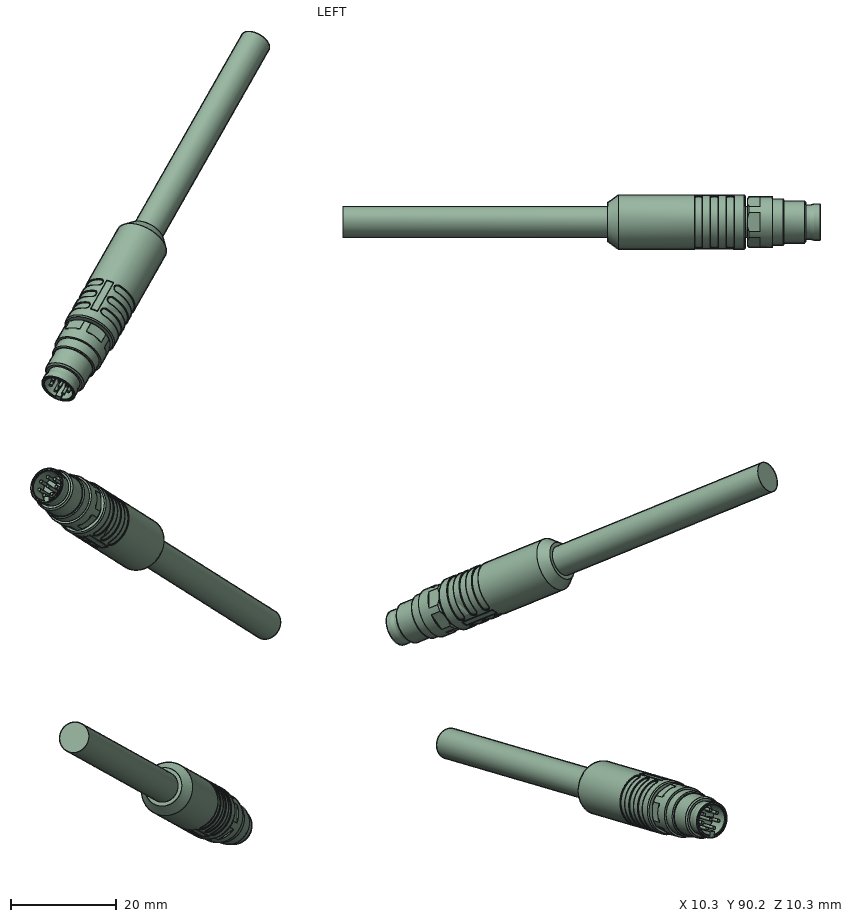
import cadquery as cq
import math


total_length = 90.2
nose_bead_end = 1.2
nose_bead_taper_end = 1.9
nose_groove_end = 2.78
barrel_end = 6.9
front_collar_end = 9.1
nut_flat_start = 11.4
nut_end = 13.8
grip_start = 14.2
grip_end = 40.2

nose_diameter = 6.9
nose_groove_diameter = 6.5
barrel_diameter = 8.0
front_collar_diameter = 8.8
nut_diameter = 9.6
grip_diameter = 10.3
grip_rear_diameter = 7.4
cable_diameter = 5.9
neck_diameter = cable_diameter

barrel_chamfer = 0.3
nose_chamfer_height = 0.15
nose_chamfer_length = 0.12
socket_chamfer = 0.15
collar_chamfer_height = 0.25
collar_chamfer_length = 0.15
nut_chamfer = 0.3
grip_front_chamfer = 0.25
grip_rear_taper_length = 2.0

nut_flat_count = 6
nut_across_flats = 8.9

socket_diameter = 5.8
socket_depth = 4.0
pin_diameter = 0.6
pin_length = 3.5
outer_pin_count = 7
pin_circle_radius = 1.85
key_width = 1.0
key_height = 0.7

groove_count = 3
groove_pitch = 3.0
groove_width = 1.4
groove_depth = 0.2
groove_edge_chamfer = 0.1
groove_tip_offset = 1.25
first_groove_center = 17.05
groove_zone_start = first_groove_center - groove_pitch / 2
groove_zone_end = first_groove_center + (groove_count - 0.5) * groove_pitch
rim_tolerance = 0.01
bar_width = 1.4
bar_length = 7.4
bar_center = 20.1
bar_depth = 0.2


def section(diameter, start, end):
    """Round section of the connector between two axial stations."""
    return (
        cq.Workplane("XZ", origin=(0, start, 0))
        .circle(diameter / 2)
        .extrude(start - end)
    )


def make_body():
    """Turned outline of nose, barrel, nut, grip and cable, as (radius, station) points."""
    nose_radius = nose_diameter / 2
    nose_groove_radius = nose_groove_diameter / 2
    barrel_radius = barrel_diameter / 2
    collar_radius = front_collar_diameter / 2
    nut_radius = nut_diameter / 2
    neck_radius = neck_diameter / 2
    grip_radius = grip_diameter / 2
    cable_radius = cable_diameter / 2
    outline = [
        (0, 0),
        (nose_radius - nose_chamfer_height, 0),
        (nose_radius, nose_chamfer_length),
        (nose_radius, nose_bead_end),
        (nose_groove_radius, nose_bead_taper_end),
        (nose_groove_radius, nose_groove_end),
        (barrel_radius - barrel_chamfer, nose_groove_end),
        (barrel_radius, nose_groove_end + barrel_chamfer),
        (barrel_radius, barrel_end),
        (collar_radius - collar_chamfer_height, barrel_end),
        (collar_radius, barrel_end + collar_chamfer_length),
        (collar_radius, front_collar_end),
        (nut_radius, front_collar_end),
        (nut_radius, nut_end - nut_chamfer),
        (nut_radius - nut_chamfer, nut_end),
        (neck_radius, nut_end),
        (neck_radius, grip_start),
        (grip_radius - grip_front_chamfer, grip_start),
        (grip_radius, grip_start + grip_front_chamfer),
        (grip_radius, grip_end - grip_rear_taper_length),
        (grip_rear_diameter / 2, grip_end),
        (cable_radius, grip_end),
        (cable_radius, total_length),
        (0, total_length),
    ]
    return cq.Workplane("XY").polyline(outline).close().revolve(360, (0, 0, 0), (0, 1, 0))


def make_nut_flat_cut():
    """Material outside the hexagon, over the rear part of the nut."""
    hexagon = (
        cq.Workplane("XZ", origin=(0, nut_flat_start, 0))
        .transformed(rotate=(0, 0, 180 / nut_flat_count))
        .polygon(nut_flat_count, nut_across_flats / math.cos(math.pi / nut_flat_count))
        .extrude(nut_flat_start - nut_end)
    )
    return section(grip_diameter, nut_flat_start, nut_end).cut(hexagon)


def make_grip_grooves():
    """Shallow grooves round both flanks of the grip, with rounded ends beside the marker bars."""
    shell = section(2 * grip_diameter, groove_zone_start, groove_zone_end).cut(
        section(grip_diameter - 2 * groove_depth, groove_zone_start, groove_zone_end)
    )
    slot_length = grip_diameter
    slot_offset = groove_tip_offset + slot_length / 2
    slot_centers = []
    for side in (-1, 1):
        for index in range(groove_count):
            slot_centers.append((side * slot_offset, first_groove_center + index * groove_pitch))
    slots = (
        cq.Workplane("XY")
        .pushPoints(slot_centers)
        .slot2D(slot_length, groove_width)
        .extrude(grip_diameter, both=True)
    )
    return slots.intersect(shell)


def is_groove_rim(edge):
    """True for the edges where a finger groove meets the outer surface of the grip."""
    middle = edge.positionAt(0.5)
    on_surface = abs(math.hypot(middle.x, middle.z) - grip_diameter / 2) < rim_tolerance
    return on_surface and groove_zone_start < middle.y < groove_zone_end


def make_grooved_body():
    """Body with finger grooves, their rims broken by a small chamfer."""
    grooved = make_body().cut(make_grip_grooves())
    rims = grooved.edges().filter(is_groove_rim)
    return rims.chamfer(groove_edge_chamfer)


def make_marker_bars():
    """Flat-bottomed shallow recesses along the top and bottom of the grip."""
    floor_height = grip_diameter / 2 - bar_depth
    bar = (
        cq.Workplane("XY", origin=(0, bar_center, floor_height))
        .rect(bar_width, bar_length)
        .extrude(grip_diameter / 2)
    )
    return bar.union(bar.mirror("XY"))


def make_socket():
    """Round blind socket with a chamfered mouth."""
    socket_radius = socket_diameter / 2
    outline = [
        (0, 0),
        (socket_radius + socket_chamfer, 0),
        (socket_radius, socket_chamfer),
        (socket_radius, socket_depth),
        (0, socket_depth),
    ]
    return cq.Workplane("XY").polyline(outline).close().revolve(360, (0, 0, 0), (0, 1, 0))


def make_contacts():
    """One central pin and a ring of pins, standing on the socket floor."""
    pin_centers = [(0, 0)]
    for index in range(outer_pin_count):
        angle = math.radians(90) + index * 2 * math.pi / outer_pin_count
        pin_centers.append((pin_circle_radius * math.cos(angle), pin_circle_radius * math.sin(angle)))
    return (
        cq.Workplane("XZ", origin=(0, socket_depth, 0))
        .pushPoints(pin_centers)
        .circle(pin_diameter / 2)
        .extrude(pin_length)
    )


def make_key():
    """Polarising rib along the bottom of the socket bore."""
    wall_middle_radius = (socket_diameter + nose_groove_diameter) / 4
    key_top = -(socket_diameter / 2 - key_height)
    return cq.Workplane("XY").box(
        key_width, socket_depth, key_top + wall_middle_radius, centered=(True, False, False)
    ).translate((0, 0, -wall_middle_radius))


result = (
    make_grooved_body()
    .cut(make_nut_flat_cut())
    .cut(make_marker_bars())
    .cut(make_socket())
    .union(make_contacts())
    .union(make_key())
)